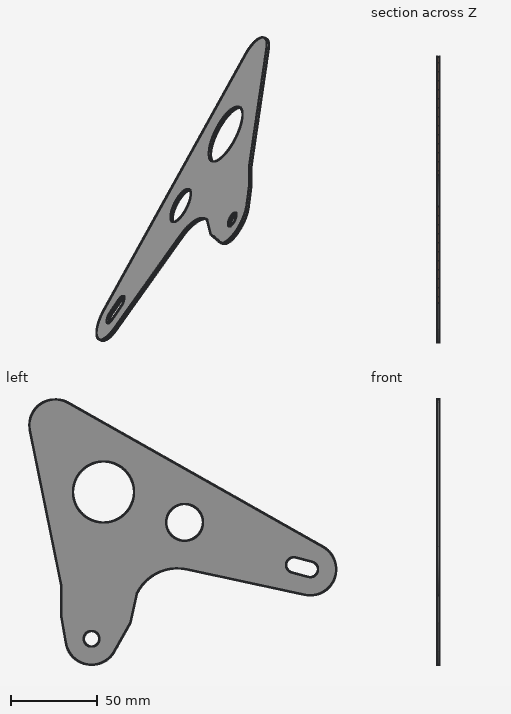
import cadquery as cq
import math

thickness = 1.65

lobe_radius = 15.0
lower_lobe = (0, 0)
upper_lobe = (20.9, 122.9)
arm_lobe = (-125.9, 40.0)

throat_radius = 25.8
throat_centre = (-49.3, 14.7)
throat_end_y = -26.2

leg_inner_corner = (-22.5, 9.2)
leg_outer_y = 17.5
leg_outer_low = (leg_outer_y, 12.9)
leg_outer_high = (leg_outer_y, 30.5)

pivot_hole_diameter = 8.8
large_hole_centre = (-6.9, 84.5)
large_hole_diameter = 35.0
small_hole_centre = (-53.5, 67.0)
small_hole_diameter = 21.0
slot_width = 8.8
slot_centre_spacing = 9.7
slot_angle = 15


def polar(centre, radius, angle):
    """Point on a circle, with the angle in radians."""
    return (centre[0] + radius * math.cos(angle), centre[1] + radius * math.sin(angle))


def tangent_points(start, start_radius, end, end_radius):
    """Touch points of the tangent line on the outer side of two circles.

    A negative radius puts a circle outside the plate; a zero radius is a corner.
    """
    dy = end[0] - start[0]
    dz = end[1] - start[1]
    heading = math.atan2(dz, dy)
    normal_angle = heading - math.acos((start_radius - end_radius) / math.hypot(dy, dz))
    return polar(start, start_radius, normal_angle), polar(end, end_radius, normal_angle)


def arc_middle(centre, radius, start, end):
    """Middle of the arc shorter than a half turn between two points on a circle."""
    middle_y = (start[0] + end[0]) / 2
    middle_z = (start[1] + end[1]) / 2
    return polar(centre, radius, math.atan2(middle_z - centre[1], middle_y - centre[0]))


def make_plate():
    """Outline running over the long edge, back under the arm and round the leg."""
    throat_rise = math.sqrt(throat_radius**2 - (throat_end_y - throat_centre[0]) ** 2)
    throat_end = (throat_end_y, throat_centre[1] + throat_rise)

    long_start, long_end = tangent_points(upper_lobe, lobe_radius, arm_lobe, lobe_radius)
    arm_start, arm_end = tangent_points(arm_lobe, lobe_radius, throat_centre, -throat_radius)
    inner_start, inner_end = tangent_points(leg_inner_corner, 0, lower_lobe, lobe_radius)
    outer_start, outer_end = tangent_points(lower_lobe, lobe_radius, leg_outer_low, 0)
    back_start, back_end = tangent_points(leg_outer_high, 0, upper_lobe, lobe_radius)

    return (
        cq.Workplane("YZ")
        .moveTo(*long_start)
        .lineTo(*long_end)
        .threePointArc(arc_middle(arm_lobe, lobe_radius, long_end, arm_start), arm_start)
        .lineTo(*arm_end)
        .threePointArc(arc_middle(throat_centre, throat_radius, arm_end, throat_end), throat_end)
        .lineTo(*inner_start)
        .lineTo(*inner_end)
        .threePointArc(arc_middle(lower_lobe, lobe_radius, inner_end, outer_start), outer_start)
        .lineTo(*outer_end)
        .lineTo(*back_start)
        .lineTo(*back_end)
        .threePointArc(arc_middle(upper_lobe, lobe_radius, back_end, long_start), long_start)
        .close()
        .extrude(thickness / 2, both=True)
    )


def round_cutter(centre, diameter):
    return cq.Workplane("YZ").center(*centre).circle(diameter / 2).extrude(thickness, both=True)


def slot_cutter():
    """Inclined slot whose outer end is concentric with the arm lobe."""
    centre = polar(arm_lobe, slot_centre_spacing / 2, math.radians(slot_angle))
    return (
        cq.Workplane("YZ")
        .center(*centre)
        .slot2D(slot_centre_spacing + slot_width, slot_width, slot_angle)
        .extrude(thickness, both=True)
    )


result = make_plate()
for hole_centre, hole_diameter in (
    (lower_lobe, pivot_hole_diameter),
    (large_hole_centre, large_hole_diameter),
    (small_hole_centre, small_hole_diameter),
):
    result = result.cut(round_cutter(hole_centre, hole_diameter))
result = result.cut(slot_cutter())